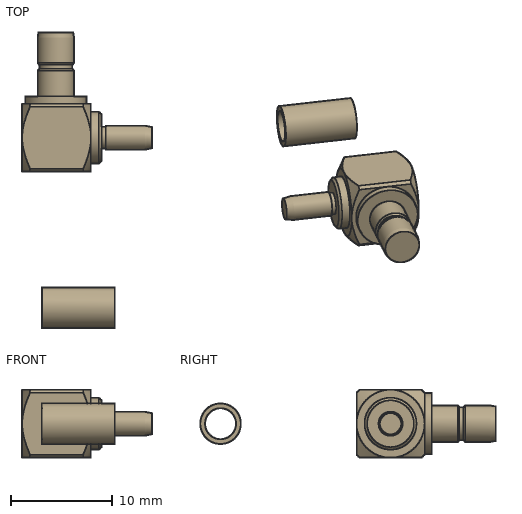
import cadquery as cq

BLOCK_LENGTH = 6.82
BLOCK_SIDE = 6.7
EDGE_CHAMFER = 0.3
CENTER = BLOCK_SIDE / 2

RELIEF_SLOPE = 0.65
LEFT_FACE_RADIUS = 3.3
RIGHT_FACE_RADIUS = CENTER
RELIEF_OUTER_RADIUS = BLOCK_SIDE

PLUG_X = 3.35
FLANGE_RADIUS = 3.03
FLANGE_END = 7.43
PLUG_RADIUS = 1.8
PLUG_TIP_RADIUS = 1.72
PLUG_TAPER_START = 13.2
PLUG_END = 13.72
GROOVE_RADIUS = 1.63
GROOVE_START = 9.95
GROOVE_FLOOR_START = 10.15
GROOVE_FLOOR_END = 10.52
GROOVE_END = 10.72

COLLAR_RADIUS = 2.55
COLLAR_END = 7.87
COLLAR_CHAMFER = 0.25
NECK_RADIUS = 1.08
NECK_END = 8.27
BARREL_RADIUS = 1.2
BARREL_TIP_RADIUS = 1.05
BARREL_TAPER_START = 12.12
BARREL_END = 12.85

FERRULE_LENGTH = 7.2
FERRULE_OUTER_DIAMETER = 4.02
FERRULE_INNER_DIAMETER = 3.03
FERRULE_START_X = 1.98
OVERALL_Y = 29.13
FERRULE_Y = PLUG_END - OVERALL_Y + FERRULE_OUTER_DIAMETER / 2


def turned_along_x(profile):
    """Revolve (x, radius) points around the block's X center line."""
    points = [(x, CENTER + radius) for x, radius in profile]
    return (
        cq.Workplane("XY", origin=(0, 0, CENTER))
        .polyline(points)
        .close()
        .revolve(360, (0, CENTER, 0), (1, CENTER, 0))
    )


def turned_along_y(profile):
    """Revolve (radius, y) points around the plug axis."""
    points = [(PLUG_X + radius, y) for radius, y in profile]
    return (
        cq.Workplane("XY", origin=(0, 0, CENTER))
        .polyline(points)
        .close()
        .revolve(360, (PLUG_X, 0, 0), (PLUG_X, 1, 0))
    )


def make_block():
    """Square bar with chamfered long edges and conically relieved ends."""
    block = cq.Workplane("XY").box(BLOCK_LENGTH, BLOCK_SIDE, BLOCK_SIDE, centered=False)
    block = block.edges("|X").chamfer(EDGE_CHAMFER)
    left_depth = RELIEF_SLOPE * (RELIEF_OUTER_RADIUS - LEFT_FACE_RADIUS)
    right_depth = RELIEF_SLOPE * (RELIEF_OUTER_RADIUS - RIGHT_FACE_RADIUS)
    envelope = turned_along_x([
        (0, 0),
        (0, LEFT_FACE_RADIUS),
        (left_depth, RELIEF_OUTER_RADIUS),
        (BLOCK_LENGTH - right_depth, RELIEF_OUTER_RADIUS),
        (BLOCK_LENGTH, RIGHT_FACE_RADIUS),
        (BLOCK_LENGTH, 0),
    ])
    return block.intersect(envelope)


def make_plug():
    """Flanged plug with a snap groove and a tapered tip, rooted in the block."""
    return turned_along_y([
        (0, CENTER),
        (FLANGE_RADIUS, CENTER),
        (FLANGE_RADIUS, FLANGE_END),
        (PLUG_RADIUS, FLANGE_END),
        (PLUG_RADIUS, GROOVE_START),
        (GROOVE_RADIUS, GROOVE_FLOOR_START),
        (GROOVE_RADIUS, GROOVE_FLOOR_END),
        (PLUG_RADIUS, GROOVE_END),
        (PLUG_RADIUS, PLUG_TAPER_START),
        (PLUG_TIP_RADIUS, PLUG_END),
        (0, PLUG_END),
    ])


def make_cable_barrel():
    """Chamfered collar, neck and tapered cable barrel, rooted in the block."""
    return turned_along_x([
        (CENTER, 0),
        (CENTER, COLLAR_RADIUS),
        (COLLAR_END - COLLAR_CHAMFER, COLLAR_RADIUS),
        (COLLAR_END, COLLAR_RADIUS - COLLAR_CHAMFER),
        (COLLAR_END, NECK_RADIUS),
        (NECK_END, NECK_RADIUS),
        (NECK_END, BARREL_RADIUS),
        (BARREL_TAPER_START, BARREL_RADIUS),
        (BARREL_END, BARREL_TIP_RADIUS),
        (BARREL_END, 0),
    ])


def make_connector():
    return make_block().union(make_plug()).union(make_cable_barrel())


def make_ferrule():
    """Plain open tube."""
    return (
        cq.Workplane("YZ", origin=(FERRULE_START_X, FERRULE_Y, CENTER))
        .circle(FERRULE_OUTER_DIAMETER / 2)
        .circle(FERRULE_INNER_DIAMETER / 2)
        .extrude(FERRULE_LENGTH)
    )


connector = make_connector()
ferrule = make_ferrule()
result = cq.Compound.makeCompound([connector.val(), ferrule.val()])